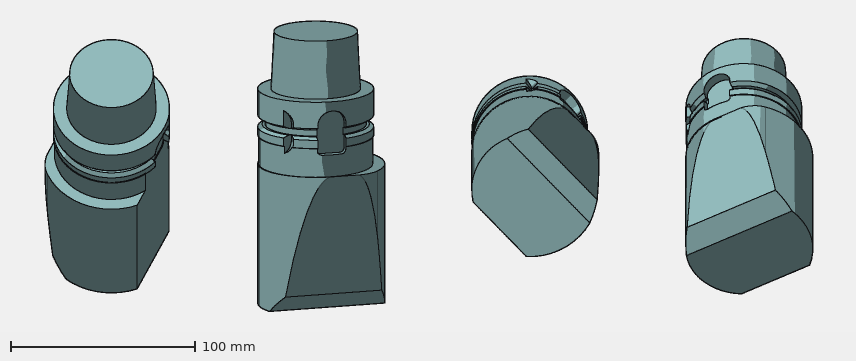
import cadquery as cq
import math

shank_length = 32.0
flange_height = 26.0
neck_bottom = -42.0
part_bottom = -120.0

shank_base_radius = 24.315
taper_per_side = 1 / 20
shank_top_radius = shank_base_radius - shank_length * taper_per_side

flange_radius = 31.5
neck_radius = 31.0
groove_radius = 27.5
groove_lip_radius = 29.1
groove_centre_z = -18.0
groove_mouth_width = 6.5
groove_inner_width = 3.8

keyway_width_minus_x = 16.0
keyway_width_plus_x = 18.0
keyway_floor_x = 26.5
keyway_top_z = -5.2
keyway_bottom_z = -29.8
keyway_corner_radius = 2.5

notch_width = keyway_width_minus_x
notch_floor_x = -20.0
notch_centre_y = 27.85
notch_top_z = keyway_top_z
notch_bottom_z = -31.0

body_front_radius = 37.5
body_corner_radius = 18.5
side_flat_x = 27.0

relief_angle = 8.75
relief_bottom_x = -21.0
chamfer_size = 10.0

clearance = 10.0


def make_shank_and_flange():
    """Revolve the shank, the grooved flange and the neck in one profile."""
    mouth_half = groove_mouth_width / 2
    inner_half = groove_inner_width / 2
    profile = (
        cq.Workplane("XZ")
        .moveTo(0, shank_length)
        .lineTo(shank_top_radius, shank_length)
        .lineTo(shank_base_radius, 0)
        .lineTo(flange_radius, 0)
        .lineTo(flange_radius, groove_centre_z + mouth_half)
        .lineTo(groove_lip_radius, groove_centre_z + inner_half)
        .lineTo(groove_radius, groove_centre_z + inner_half)
        .lineTo(groove_radius, groove_centre_z - inner_half)
        .lineTo(groove_lip_radius, groove_centre_z - inner_half)
        .lineTo(flange_radius, groove_centre_z - mouth_half)
        .lineTo(flange_radius, -flange_height)
        .lineTo(neck_radius, -flange_height)
        .lineTo(neck_radius, neck_bottom)
        .lineTo(0, neck_bottom)
        .close()
    )
    return profile.revolve(360, (0, 0, 0), (0, 1, 0))


def make_body():
    """Extrude the body: round at the back, bulging forwards to a larger radius."""
    corner_x = -flange_radius + body_corner_radius
    centre_distance = body_front_radius - body_corner_radius
    corner_y = -math.sqrt(centre_distance**2 - corner_x**2)
    blend = body_front_radius / centre_distance
    blend_point = (corner_x * blend, corner_y * blend)
    blend_angle = math.pi + math.atan2(-corner_y, -corner_x)
    mid_angle = (math.pi + blend_angle) / 2
    corner_mid = (
        corner_x + body_corner_radius * math.cos(mid_angle),
        corner_y + body_corner_radius * math.sin(mid_angle),
    )
    flat_front_y = -math.sqrt(body_front_radius**2 - side_flat_x**2)
    flat_back_y = math.sqrt(flange_radius**2 - side_flat_x**2)
    outline = (
        cq.Workplane("XY", origin=(0, 0, part_bottom))
        .moveTo(side_flat_x, flat_back_y)
        .threePointArc((0, flange_radius), (-flange_radius, 0))
        .lineTo(-flange_radius, corner_y)
        .threePointArc(corner_mid, blend_point)
        .threePointArc((0, -body_front_radius), (side_flat_x, flat_front_y))
        .close()
    )
    return outline.extrude(neck_bottom - part_bottom)


def make_relief_cut():
    """Wedge on the -X side that leaves the sloping face and the bottom chamfer."""
    relief_bottom_z = part_bottom + chamfer_size
    relief_height = neck_bottom - relief_bottom_z
    relief_top_x = relief_bottom_x - relief_height * math.tan(math.radians(relief_angle))
    outer_x = -flange_radius - clearance
    return (
        cq.Workplane("XZ")
        .moveTo(relief_top_x, neck_bottom)
        .lineTo(relief_bottom_x, relief_bottom_z)
        .lineTo(relief_bottom_x + chamfer_size, part_bottom)
        .lineTo(outer_x, part_bottom)
        .lineTo(outer_x, neck_bottom)
        .close()
        .extrude(body_front_radius + clearance, both=True)
    )


def make_side_flat_cut():
    """Block that flattens the +X side of the neck below the flange."""
    height = -flange_height - neck_bottom
    return cq.Workplane("XY", origin=(side_flat_x, 0, neck_bottom)).box(
        clearance, 2 * flange_radius, height, centered=(False, True, False)
    )


def make_keyway_cut(side, width):
    """Flat-floored keyway with a round top; side is -1 for -X and +1 for +X."""
    half_width = width / 2
    outline = (
        cq.Workplane("YZ", origin=(side * keyway_floor_x, 0, 0))
        .moveTo(-half_width, keyway_bottom_z)
        .lineTo(half_width, keyway_bottom_z)
        .lineTo(half_width, keyway_top_z - half_width)
        .threePointArc((0, keyway_top_z), (-half_width, keyway_top_z - half_width))
        .close()
    )
    return outline.extrude(side * clearance).edges("|X and <Z").fillet(keyway_corner_radius)


def make_notch_cut():
    """Round-ended notch running along X into the +Y flank of the flange."""
    notch_length = notch_top_z - notch_bottom_z
    notch_centre_z = (notch_top_z + notch_bottom_z) / 2
    return (
        cq.Workplane("YZ", origin=(notch_floor_x, 0, 0))
        .center(notch_centre_y, notch_centre_z)
        .slot2D(notch_length, notch_width, 90)
        .extrude(-flange_radius)
    )


result = make_shank_and_flange().cut(make_side_flat_cut())
result = result.cut(make_keyway_cut(-1, keyway_width_minus_x))
result = result.cut(make_keyway_cut(1, keyway_width_plus_x))
result = result.cut(make_notch_cut())
result = result.union(make_body().cut(make_relief_cut()))